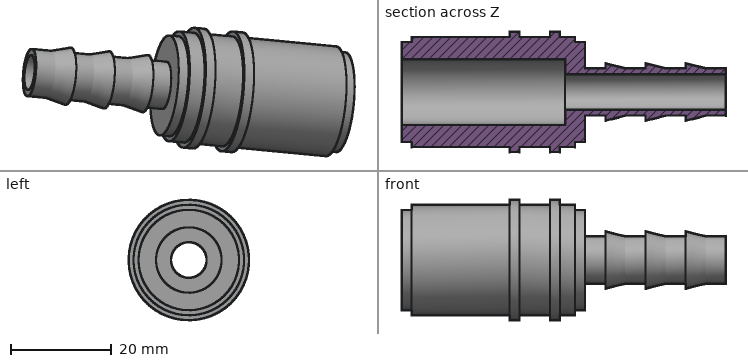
import cadquery as cq

length = 64.5

body_length = 36.5
body_diameter = 22.0
end_step_diameter = 20.0
end_step_length = 2.0

ring_diameter = 24.0
ring_width = 2.0
ring_starts = (21.5, 29.5)

tail_diameter = 9.5
barb_diameter = 11.5
barb_length = 4.0
barb_count = 3
barb_pitch = 2 * barb_length
first_barb_start = body_length + barb_length

bore_diameter = 7.0
socket_diameter = 13.0
socket_depth = body_length - barb_length


def cylinder(start, cylinder_length, diameter):
    """Solid cylinder along +X from the given start."""
    return cq.Workplane("YZ").workplane(offset=start).circle(diameter / 2).extrude(cylinder_length)


def barb(start):
    """Cone that narrows from the barb diameter to the tail diameter along +X."""
    half_profile = [
        (start, 0),
        (start, barb_diameter / 2),
        (start + barb_length, tail_diameter / 2),
        (start + barb_length, 0),
    ]
    return cq.Workplane("XY").polyline(half_profile).close().revolve(360, (0, 0, 0), (1, 0, 0))


coupling = cylinder(0, body_length, end_step_diameter)
coupling = coupling.union(cylinder(end_step_length, body_length - 2 * end_step_length, body_diameter))

for ring_start in ring_starts:
    coupling = coupling.union(cylinder(ring_start, ring_width, ring_diameter))

coupling = coupling.union(cylinder(socket_depth, length - socket_depth, tail_diameter))
for index in range(barb_count):
    coupling = coupling.union(barb(first_barb_start + index * barb_pitch))

coupling = coupling.cut(cylinder(0, length, bore_diameter))
result = coupling.cut(cylinder(0, socket_depth, socket_diameter))